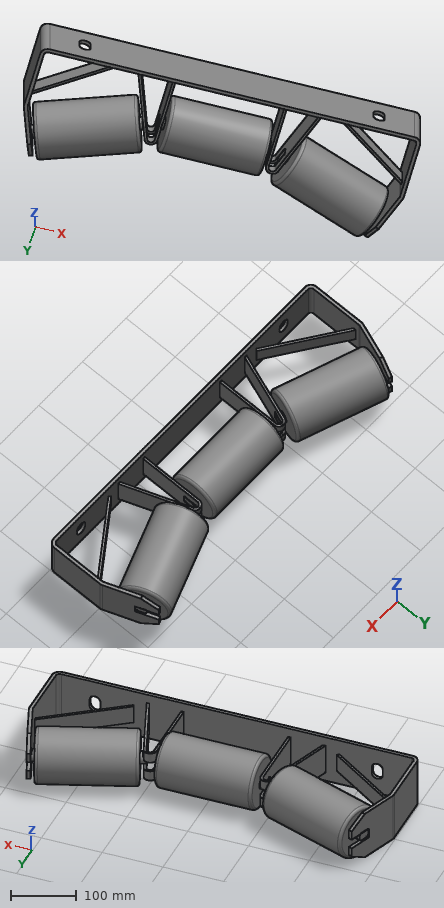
import cadquery as cq
import math

frame_length = 600.0
bar_width = 81.5
bar_thickness = 6.0
bend_radius = 12.0
arm_tilt = 20.0
arm_bend_start_y = 104.5
arm_tip_y = 195.5
tip_width = 47.0
tip_taper_length = 29.5

hairpin_width = 50.5
hairpin_thickness = 4.0
hairpin_radius = 10.0
hairpin_arc_y = 117.0

brace_width = 30.0
brace_thickness = 4.0
brace_angle = 35.0
brace_foot_x = 169.0
weld_depth = 0.5

mount_x = 232.0
mount_width = 18.0
mount_height = 27.5

roller_diameter = 89.0
roller_length = 160.0
roller_rounding = 5.0
roller_gap = 5.7
axle_diameter = 20.0
flat_width = 14.0
flat_shoulder_gap = 1.0
center_roller_y = 99.0
side_roller_y = 136.0

axle_slot_width = 16.0
axle_slot_rounding = 3.0
axle_slot_height = 60.0

sine = math.sin(math.radians(arm_tilt))
cosine = math.cos(math.radians(arm_tilt))
bend_x = frame_length / 2 - bend_radius
face_distance = roller_length / 2 + roller_gap
hairpin_x = face_distance + hairpin_radius
arm_inner_distance = bend_x * cosine + arm_bend_start_y * sine + bend_radius - bar_thickness
leg_face_distance = hairpin_x * cosine + hairpin_arc_y * sine + hairpin_radius
side_roller_distance = (arm_inner_distance + leg_face_distance) / 2
side_roller_x = (side_roller_distance - side_roller_y * sine) / cosine

roller_places = [
    (-side_roller_x, side_roller_y, -arm_tilt),
    (0, center_roller_y, 0),
    (side_roller_x, side_roller_y, arm_tilt),
]


def arc_point(center, radius, angle):
    """Return the point of a circle at an angle in degrees from +X."""
    turn = math.radians(angle)
    return (center[0] + radius * math.cos(turn), center[1] + radius * math.sin(turn))


def along_arm(point, y):
    """Follow the right-hand arm's direction from a point to a height y."""
    return (point[0] - (y - point[1]) * sine / cosine, y)


def with_mirror_image(right_side):
    return right_side.union(right_side.mirror("YZ"))


def extrude_strip(outline, width):
    """Extrude a closed outline by a width centered on Z = 0."""
    return outline.close().extrude(width / 2, both=True)


def place_on_axis(shape, x, y, tilt):
    return shape.rotate((0, 0, 0), (0, 0, 1), tilt).translate((x, y, 0))


def make_bar_half():
    inner_radius = bend_radius - bar_thickness
    corner = (bend_x, bend_radius)
    elbow = (bend_x, arm_bend_start_y)
    outer_tip = along_arm(arc_point(elbow, bend_radius, arm_tilt), arm_tip_y)
    inner_tip = (outer_tip[0] - bar_thickness * cosine, outer_tip[1] - bar_thickness * sine)
    outline = (
        cq.Workplane("XY")
        .moveTo(0, 0)
        .lineTo(bend_x, 0)
        .threePointArc(arc_point(corner, bend_radius, -45), arc_point(corner, bend_radius, 0))
        .lineTo(*arc_point(elbow, bend_radius, 0))
        .threePointArc(
            arc_point(elbow, bend_radius, arm_tilt / 2), arc_point(elbow, bend_radius, arm_tilt)
        )
        .lineTo(*outer_tip)
        .lineTo(*inner_tip)
        .lineTo(*arc_point(elbow, inner_radius, arm_tilt))
        .threePointArc(
            arc_point(elbow, inner_radius, arm_tilt / 2), arc_point(elbow, inner_radius, 0)
        )
        .lineTo(*arc_point(corner, inner_radius, 0))
        .threePointArc(arc_point(corner, inner_radius, -45), arc_point(corner, inner_radius, -90))
        .lineTo(0, bar_thickness)
    )
    bar = extrude_strip(outline, bar_width)
    return bar.cut(make_tip_tapers(outer_tip))


def make_tip_tapers(outer_tip):
    """Wedges that narrow the arm towards its tip, on both edges."""
    upper_wedge = (
        cq.Workplane("YZ")
        .moveTo(0, tip_width / 2)
        .lineTo(0, bar_width / 2)
        .lineTo(-tip_taper_length, bar_width / 2)
        .close()
        .extrude(bar_thickness, both=True)
    )
    wedges = upper_wedge.union(upper_wedge.mirror("XY"))
    return place_on_axis(wedges, outer_tip[0], outer_tip[1], arm_tilt)


def make_hairpin():
    """The right-hand hairpin: an upright leg, a half-round crest and a tilted leg."""
    center = (hairpin_x, hairpin_arc_y)
    inner_radius = hairpin_radius - hairpin_thickness
    crest_angle = (180 + arm_tilt) / 2
    foot_y = bar_thickness - weld_depth

    def tilted_leg_foot(radius):
        return along_arm(arc_point(center, radius, arm_tilt), foot_y)

    outline = (
        cq.Workplane("XY")
        .moveTo(hairpin_x - hairpin_radius, foot_y)
        .lineTo(*arc_point(center, hairpin_radius, 180))
        .threePointArc(
            arc_point(center, hairpin_radius, crest_angle),
            arc_point(center, hairpin_radius, arm_tilt),
        )
        .lineTo(*tilted_leg_foot(hairpin_radius))
        .lineTo(*tilted_leg_foot(inner_radius))
        .lineTo(*arc_point(center, inner_radius, arm_tilt))
        .threePointArc(
            arc_point(center, inner_radius, crest_angle), arc_point(center, inner_radius, 180)
        )
        .lineTo(hairpin_x - inner_radius, foot_y)
    )
    return extrude_strip(outline, hairpin_width)


def make_brace():
    """The right-hand brace, square at its foot and ending inside the bar's upright side."""
    slope = math.radians(brace_angle)
    foot = (brace_foot_x, bar_thickness - weld_depth)
    end_x = frame_length / 2 - bar_thickness + weld_depth
    end_y = foot[1] + (end_x - foot[0]) * math.tan(slope)
    outline = (
        cq.Workplane("XY")
        .moveTo(*foot)
        .lineTo(end_x, end_y)
        .lineTo(end_x, end_y + brace_thickness / math.cos(slope))
        .lineTo(*arc_point(foot, brace_thickness, brace_angle + 90))
    )
    return extrude_strip(outline, brace_width)


def make_mount_slots():
    return (
        cq.Workplane("XZ")
        .pushPoints([(-mount_x, 0), (mount_x, 0)])
        .slot2D(mount_height, mount_width, 90)
        .extrude(-bar_thickness)
    )


def make_axle_slots():
    """Cutter for both slots of one roller: its floor touches the axle and it opens upwards."""
    return (
        cq.Workplane("XY")
        .box(2 * hairpin_x, axle_slot_height, axle_slot_width)
        .edges("|X and <Y")
        .fillet(axle_slot_rounding)
        .translate((0, (axle_slot_height - axle_diameter) / 2, 0))
    )


def make_frame():
    half = make_bar_half().union(make_hairpin()).union(make_brace())
    frame = with_mirror_image(half).cut(make_mount_slots())
    for x, y, tilt in roller_places:
        frame = frame.cut(place_on_axis(make_axle_slots(), x, y, tilt))
    return frame


def make_round_bar(diameter, length):
    """A cylinder along X, centered on the origin."""
    return cq.Workplane("YZ", origin=(-length / 2, 0, 0)).circle(diameter / 2).extrude(length)


def make_roller():
    """A rounded drum and its axle, whose flattened ends sit in the axle slots."""
    shoulder_length = 2 * (face_distance - flat_shoulder_gap)
    axle_length = 2 * (face_distance + hairpin_thickness)
    drum = make_round_bar(roller_diameter, roller_length).edges("%CIRCLE").fillet(roller_rounding)
    shaft = make_round_bar(axle_diameter, shoulder_length)
    flats = cq.Workplane("XY").box(axle_length, axle_diameter, flat_width)
    ends = make_round_bar(axle_diameter, axle_length).intersect(flats)
    return drum.union(shaft).union(ends)


frame = make_frame()
rollers = [place_on_axis(make_roller(), x, y, tilt) for x, y, tilt in roller_places]

result = cq.Compound.makeCompound([frame.val(), *[roller.val() for roller in rollers]])